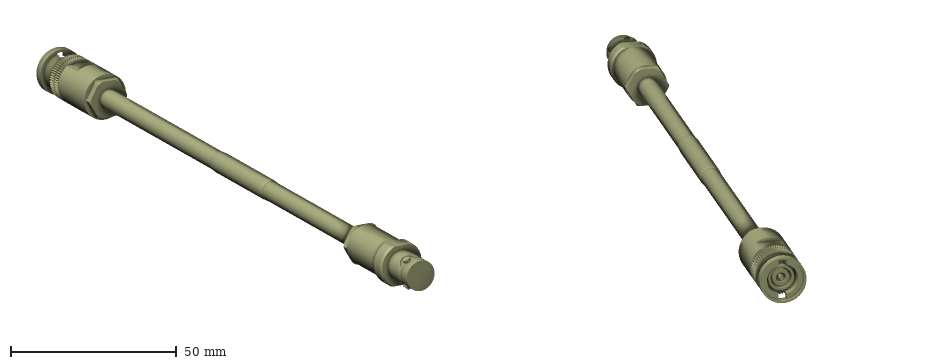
import cadquery as cq
import math

TOTAL_LENGTH = 219.0
OUTER_RADIUS = 7.2

FLANGE_END = 2.5
FLANGE_BORE_RADIUS = 6.5
FLANGE_BORE_DEPTH = 0.9
COUPLING_RADIUS = 6.0
COUPLING_BORE_RADIUS = 4.8
KNURL_START = 7.9
KNURL_BAND_LENGTH = 2.0
KNURL_BAND_PITCH = 2.6
KNURL_BAND_COUNT = 2
COUPLING_END = 13.1
KNURL_TEETH = 60
KNURL_TOOTH_HEIGHT = 0.5

SLOT_WIDTH = 2.6
SLOT_RADIUS = 6.4
SLOT_RAMP_START = 4.4
SLOT_RAMP_END = 5.7
SLOT_TURN = 60.0

PLUG_BODY_RADIUS = OUTER_RADIUS
PLUG_BODY_END = 29.0
PLUG_FLAT_HEIGHT = 6.0
PLUG_FLAT_END = 19.3
COLLAR_START = KNURL_START
SHELL_START = 2.6
SHELL_RADIUS = 4.0
SHELL_BORE_RADIUS = 3.3
INSULATOR_START = 3.0
INSULATOR_RADIUS = 2.6
INSULATOR_BORE_RADIUS = 1.5
PIN_START = 2.2
PIN_RADIUS = 0.7
PIN_SEAT = 11.0

NUT_ACROSS_FLATS = 11.6
NUT_LENGTH = 2.2
NUT_FACE_RADIUS = 6.1
NUT_CHAMFER = 0.5

CABLE_RADIUS = 3.0
MARKER_RADIUS = 3.3
MARKER_START = 97.3
MARKER_END = 129.0
MARKER_TAPER = 1.8

JACK_BODY_START = 185.8
JACK_BODY_RADIUS = 6.4
JACK_FLANGE_START = 202.6
JACK_FLANGE_END = 207.7
JACK_FLANGE_EDGE_RADIUS = 6.8
JACK_FLANGE_CHAMFER = 0.7
JACK_FLAT_HEIGHT = 6.4
JACK_BARREL_RADIUS = 4.8

LUG_COUNT = 3
LUG_X = 215.0
LUG_RADIUS = 1.0
LUG_TIP_RADIUS = 5.5
LUG_RECESS_RADIUS = 2.6
LUG_RECESS_DEPTH = 0.33
GROOVE_WIDTH = 2.6
GROOVE_DEPTH = 0.2


def turned(points):
    """Revolve a closed (x, radius) outline about the X axis."""
    return cq.Workplane("XZ").polyline(points).close().revolve(360, (0, 0, 0), (1, 0, 0))


def cylinder(start, end, radius, bore=0.0):
    return turned([(start, bore), (end, bore), (end, radius), (start, radius)])


def flats(start, end, height):
    """Pair of blocks that remove everything beyond +/-height in Z."""
    size = 2 * OUTER_RADIUS
    cutter = cq.Workplane("XY").box(end - start, size, size, centered=(False, True, False))
    upper = cutter.translate((start, 0, height))
    return upper.union(upper.rotate((0, 0, 0), (1, 0, 0), 180))


def knurl_band(start):
    """Toothed ring of the coupling, as long as one knurled band."""
    end = start + KNURL_BAND_LENGTH
    root = OUTER_RADIUS - KNURL_TOOTH_HEIGHT
    points = []
    for i in range(2 * KNURL_TEETH):
        angle = math.pi * i / KNURL_TEETH
        radius = OUTER_RADIUS if i % 2 == 0 else root
        points.append((radius * math.cos(angle), radius * math.sin(angle)))
    band = cq.Workplane("YZ", origin=(start, 0, 0)).polyline(points).close().extrude(KNURL_BAND_LENGTH)
    return band.cut(cylinder(start, end, COUPLING_BORE_RADIUS))


def cam_slot():
    """Cutter for the slot that enters at +Z and climbs towards +Y."""
    entry = cq.Workplane("XY").box(SLOT_RAMP_START, SLOT_WIDTH, SLOT_RADIUS, centered=(False, True, False))
    advance = SLOT_RAMP_END - SLOT_RAMP_START
    travel = 2 * COUPLING_RADIUS * math.sin(math.radians(SLOT_TURN / 2))
    length = math.hypot(advance, travel) + SLOT_WIDTH
    slope = math.degrees(math.atan2(travel, advance))
    ramp = cq.Workplane("XY").slot2D(length, SLOT_WIDTH, slope).extrude(OUTER_RADIUS)
    ramp = ramp.rotate((0, 0, 0), (1, 0, 0), -SLOT_TURN / 2)
    slot = entry.union(ramp.translate((SLOT_RAMP_START + advance / 2, 0, 0)))
    return slot.intersect(cylinder(0, KNURL_START, SLOT_RADIUS))


def make_coupling():
    """Knurled bayonet sleeve with its front flange and two opposite cam slots."""
    coupling = turned([
        (0, FLANGE_BORE_RADIUS),
        (FLANGE_BORE_DEPTH, FLANGE_BORE_RADIUS),
        (FLANGE_BORE_DEPTH, COUPLING_BORE_RADIUS),
        (COUPLING_END, COUPLING_BORE_RADIUS),
        (COUPLING_END, COUPLING_RADIUS),
        (FLANGE_END, COUPLING_RADIUS),
        (FLANGE_END, OUTER_RADIUS),
        (0, OUTER_RADIUS),
    ])
    for i in range(KNURL_BAND_COUNT):
        coupling = coupling.union(knurl_band(KNURL_START + i * KNURL_BAND_PITCH))
    slot = cam_slot()
    for angle in (0, 180):
        coupling = coupling.cut(slot.rotate((0, 0, 0), (1, 0, 0), angle))
    return coupling


def make_plug_body():
    """Body with the contact shell, the insulator tube around the pin, and a pair of flats."""
    body = turned([
        (PIN_SEAT, 0),
        (PLUG_BODY_END, 0),
        (PLUG_BODY_END, PLUG_BODY_RADIUS),
        (COUPLING_END, PLUG_BODY_RADIUS),
        (COUPLING_END, COUPLING_BORE_RADIUS),
        (COLLAR_START, COUPLING_BORE_RADIUS),
        (COLLAR_START, SHELL_RADIUS),
        (SHELL_START, SHELL_RADIUS),
        (SHELL_START, SHELL_BORE_RADIUS),
        (COLLAR_START, SHELL_BORE_RADIUS),
        (COLLAR_START, INSULATOR_RADIUS),
        (INSULATOR_START, INSULATOR_RADIUS),
        (INSULATOR_START, INSULATOR_BORE_RADIUS),
        (COLLAR_START, INSULATOR_BORE_RADIUS),
        (COLLAR_START, PIN_RADIUS),
        (PIN_SEAT, PIN_RADIUS),
    ])
    return body.cut(flats(COUPLING_END, PLUG_FLAT_END, PLUG_FLAT_HEIGHT))


def make_pin():
    return cylinder(PIN_START, PIN_SEAT, PIN_RADIUS)


def make_clamp_nut(seat, direction):
    """Hex nut on the seat plane, its chamfered face pointing along direction (+1 or -1)."""
    corner_radius = NUT_ACROSS_FLATS / math.sqrt(3)
    face = seat + direction * NUT_LENGTH
    hexagon = cq.Workplane("YZ", origin=(seat, 0, 0)).polygon(6, 2 * corner_radius)
    nut = hexagon.extrude(direction * NUT_LENGTH)
    envelope = turned([
        (seat, CABLE_RADIUS),
        (seat, corner_radius),
        (face - direction * NUT_CHAMFER, corner_radius),
        (face, NUT_FACE_RADIUS),
        (face, CABLE_RADIUS),
    ])
    return nut.intersect(envelope)


def make_cable():
    return cylinder(PLUG_BODY_END, JACK_BODY_START, CABLE_RADIUS)


def make_marker():
    """Sleeve around the cable, tapered down at both ends."""
    tip_radius = (CABLE_RADIUS + MARKER_RADIUS) / 2
    outline = [
        (MARKER_START, CABLE_RADIUS),
        (MARKER_START, tip_radius),
        (MARKER_START + MARKER_TAPER, MARKER_RADIUS),
        (MARKER_END - MARKER_TAPER, MARKER_RADIUS),
        (MARKER_END, tip_radius),
        (MARKER_END, CABLE_RADIUS),
    ]
    return turned(outline).rotate((0, 0, 0), (1, 0, 0), 90)


def lug_posts(radius, length):
    """Round posts standing on the axis at every lug position, the first one along +Y."""
    post = cq.Workplane("XZ", origin=(LUG_X, 0, 0)).circle(radius).extrude(-length)
    posts = post
    for i in range(1, LUG_COUNT):
        posts = posts.union(post.rotate((0, 0, 0), (1, 0, 0), 360 * i / LUG_COUNT))
    return posts


def make_jack_body():
    """Body with a flatted flange and a barrel that carries the bayonet lugs."""
    body = turned([
        (JACK_BODY_START, 0),
        (TOTAL_LENGTH, 0),
        (TOTAL_LENGTH, JACK_BARREL_RADIUS),
        (JACK_FLANGE_END, JACK_BARREL_RADIUS),
        (JACK_FLANGE_END, JACK_FLANGE_EDGE_RADIUS),
        (JACK_FLANGE_END - JACK_FLANGE_CHAMFER, OUTER_RADIUS),
        (JACK_FLANGE_START + JACK_FLANGE_CHAMFER, OUTER_RADIUS),
        (JACK_FLANGE_START, JACK_FLANGE_EDGE_RADIUS),
        (JACK_FLANGE_START, JACK_BODY_RADIUS),
        (JACK_BODY_START, JACK_BODY_RADIUS),
    ])
    body = body.cut(flats(JACK_FLANGE_START, JACK_FLANGE_END, JACK_FLAT_HEIGHT))
    groove_bottom = JACK_BARREL_RADIUS - GROOVE_DEPTH
    groove = turned([
        (LUG_X - GROOVE_WIDTH / 2, JACK_BARREL_RADIUS),
        (LUG_X, groove_bottom),
        (LUG_X + GROOVE_WIDTH / 2, JACK_BARREL_RADIUS),
    ])
    recess_band = cylinder(JACK_FLANGE_END, TOTAL_LENGTH, OUTER_RADIUS, JACK_BARREL_RADIUS - LUG_RECESS_DEPTH)
    recesses = lug_posts(LUG_RECESS_RADIUS, OUTER_RADIUS).intersect(recess_band)
    tip = cylinder(JACK_FLANGE_END, TOTAL_LENGTH, LUG_TIP_RADIUS)
    lugs = lug_posts(LUG_RADIUS, OUTER_RADIUS).intersect(tip)
    return body.cut(groove).cut(recesses).union(lugs)


coupling = make_coupling()
plug_body = make_plug_body()
pin = make_pin()
clamp_nuts = [make_clamp_nut(PLUG_BODY_END, 1), make_clamp_nut(JACK_BODY_START, -1)]
cable = make_cable()
marker = make_marker()
jack_body = make_jack_body()

result = cq.Compound.makeCompound([
    coupling.val(),
    plug_body.val(),
    pin.val(),
    *[nut.val() for nut in clamp_nuts],
    cable.val(),
    marker.val(),
    jack_body.val(),
])